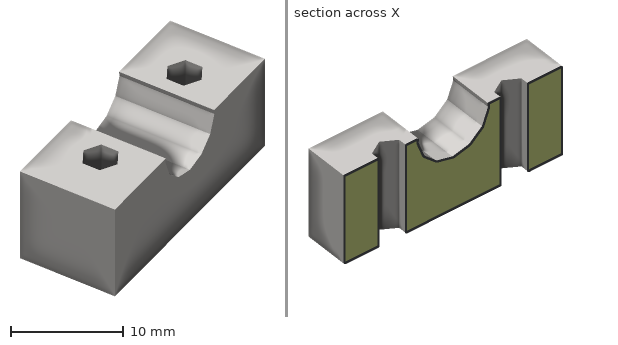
import cadquery as cq
import math

width = 10.0
length = 25.0
height = 10.0

groove_radius = 4.1
groove_sides = 13

hole_radius = 1.8
hole_offset = 7.0
hole_sides = 6


def groove_cutter():
    """Regular prism along X with one corner pointing straight down."""
    step = 2 * math.pi / groove_sides
    corners = [
        (groove_radius * math.sin(i * step), height - groove_radius * math.cos(i * step))
        for i in range(groove_sides)
    ]
    return cq.Workplane("YZ").polyline(corners).close().extrude(width / 2, both=True)


def hole_cutter():
    """Hexagonal prisms along Z with corners pointing to +X and -X."""
    return (
        cq.Workplane("XY")
        .pushPoints([(0, -hole_offset), (0, hole_offset)])
        .polygon(hole_sides, 2 * hole_radius)
        .extrude(height)
    )


block = cq.Workplane("XY").box(width, length, height, centered=(True, True, False))
result = block.cut(groove_cutter()).cut(hole_cutter())